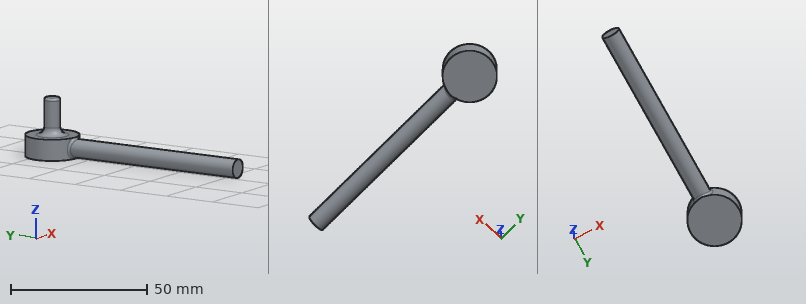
import cadquery as cq

overall_length = 91.0

disc_diameter = 20.0
disc_height = 8.0
disc_radius = disc_diameter / 2

pin_diameter = 6.0
pin_height = 14.0
pin_root_fillet = 3.0
pin_tip_round = 1.0

rod_diameter = 7.0
rod_root_fillet = 1.0
rod_end_y = disc_radius - overall_length
rod_axis_z = disc_height / 2


def make_pin_and_disc():
    """Revolve the half profile of the disc, flared pin root and rounded pin tip."""
    pin_radius = pin_diameter / 2
    top_z = disc_height + pin_height
    profile = (
        cq.Workplane("XZ")
        .lineTo(disc_radius, 0)
        .lineTo(disc_radius, disc_height)
        .lineTo(pin_radius + pin_root_fillet, disc_height)
        .radiusArc((pin_radius, disc_height + pin_root_fillet), pin_root_fillet)
        .lineTo(pin_radius, top_z - pin_tip_round)
        .radiusArc((pin_radius - pin_tip_round, top_z), -pin_tip_round)
        .lineTo(0, top_z)
        .close()
    )
    return profile.revolve(360, (0, 0, 0), (0, 1, 0))


def make_filleted_rod():
    """Rod with its root fillet, which the two flat faces of the disc cut short."""
    rod = (
        cq.Workplane("XZ")
        .center(0, rod_axis_z)
        .circle(rod_diameter / 2)
        .extrude(-rod_end_y)
    )
    tall_disc = (
        cq.Workplane("XY", origin=(0, 0, rod_axis_z))
        .circle(disc_radius)
        .extrude(disc_height, both=True)
    )
    root_region = cq.selectors.BoxSelector(
        (-disc_radius, -disc_radius - rod_root_fillet, 0),
        (disc_radius, -disc_radius / 2, disc_height),
    )
    root_edge = tall_disc.union(rod).edges(root_region)
    blended = root_edge.fillet(rod_root_fillet)
    slab = (
        cq.Workplane("XY")
        .rect(2 * overall_length, 2 * overall_length)
        .extrude(disc_height)
    )
    return blended.intersect(slab)


result = make_pin_and_disc().union(make_filleted_rod())